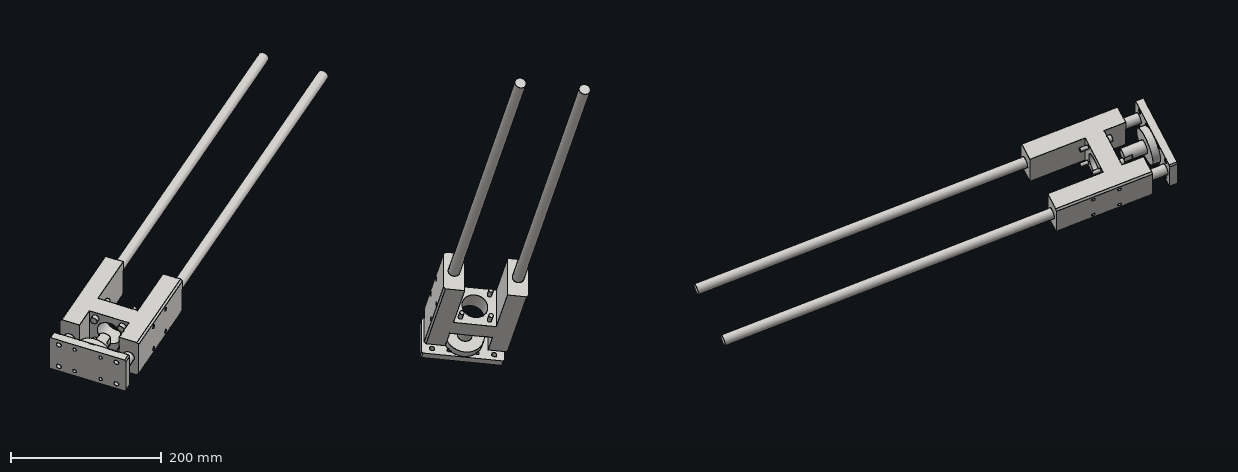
import cadquery as cq

TOTAL_LENGTH = 657.0
ROD_SPACING = 87.0
ROD_DIAMETER = 16.0

HOUSING_WIDTH = 115.0
HOUSING_LENGTH = 140.0
HOUSING_HEIGHT = 58.0
HOUSING_FRONT = 37.5
HOUSING_CHAMFER = 2.5
LEG_GAP = 58.0
BRIDGE_FRONT = 69.0
BRIDGE_LENGTH = 27.5
BRIDGE_BORE_DIAMETER = 35.0
SIDE_HOLE_DIAMETER = 5.0
SIDE_HOLE_DEPTH = 10.0
SIDE_HOLE_SPACING_Y = 38.0
SIDE_HOLE_SPACING_Z = 39.0
SIDE_HOLE_CENTER_Y = 104.5

SCREW_SPACING = 39.5
SCREW_HEAD_DIAMETER = 10.0
SCREW_HEAD_HEIGHT = 6.5
SCREW_SHANK_DIAMETER = 6.0
SCREW_TIP_LENGTH = 12.0

PLATE_WIDTH = 112.5
PLATE_HEIGHT = 55.0
PLATE_THICKNESS = 12.0
PLATE_CHAMFER = 2.0
PLATE_HOLE_SPACING_Z = 38.0
OUTER_HOLE_SPACING = 84.0
OUTER_HOLE_DIAMETER = 6.5
INNER_HOLE_SPACING = 38.0
INNER_HOLE_DIAMETER = 5.0

FLANGE_DIAMETER = 53.0
FLANGE_THICKNESS = 11.0
STUB_DIAMETER = 20.0
STUB_LENGTH = 33.0
STUB_FLATS_WIDTH = 16.0
STUB_FLATS_LENGTH = 11.0

ROD_POINTS = [(-ROD_SPACING / 2, 0), (ROD_SPACING / 2, 0)]
HOUSING_BACK = HOUSING_FRONT + HOUSING_LENGTH
BRIDGE_BACK = BRIDGE_FRONT + BRIDGE_LENGTH


def cylinder_y(diameter, y_start, length, points=((0, 0),)):
    """Cylinders along +Y, starting at y_start, centred on the given (x, z) points."""
    plane = cq.Plane(origin=(0, y_start, 0), xDir=(1, 0, 0), normal=(0, 1, 0))
    flipped = [(x, -z) for x, z in points]
    return cq.Workplane(plane).pushPoints(flipped).circle(diameter / 2).extrude(length)


def block(width, y_start, length, height):
    """Box centred in X and Z, running along +Y from y_start."""
    return cq.Workplane("XY").box(width, length, height).translate((0, y_start + length / 2, 0))


def corners(width, height):
    """Four corner points of a rectangle centred on the origin."""
    return [(u * width / 2, v * height / 2) for u in (-1, 1) for v in (-1, 1)]


def side_holes():
    """Blind holes in both outer sides of the housing, four per side."""
    hole_bottom = HOUSING_WIDTH / 2 - SIDE_HOLE_DEPTH
    holes = (
        cq.Workplane("YZ", origin=(hole_bottom, SIDE_HOLE_CENTER_Y, 0))
        .pushPoints(corners(SIDE_HOLE_SPACING_Y, SIDE_HOLE_SPACING_Z))
        .circle(SIDE_HOLE_DIAMETER / 2)
        .extrude(SIDE_HOLE_DEPTH)
    )
    return holes.union(holes.mirror("YZ"))


def bridge_screws():
    """Heads in front of the bridge and shank tips behind it."""
    points = corners(SCREW_SPACING, SCREW_SPACING)
    head_front = BRIDGE_FRONT - SCREW_HEAD_HEIGHT
    heads = cylinder_y(SCREW_HEAD_DIAMETER, head_front, SCREW_HEAD_HEIGHT, points)
    tips = cylinder_y(SCREW_SHANK_DIAMETER, BRIDGE_BACK, SCREW_TIP_LENGTH, points)
    return heads, tips


def make_housing():
    """H-shaped block with rod bores and the screws held in its bridge."""
    body = block(HOUSING_WIDTH, HOUSING_FRONT, HOUSING_LENGTH, HOUSING_HEIGHT)
    body = body.edges("|Y").chamfer(HOUSING_CHAMFER)
    body = body.cut(block(LEG_GAP, HOUSING_FRONT, BRIDGE_FRONT - HOUSING_FRONT, HOUSING_HEIGHT))
    body = body.cut(block(LEG_GAP, BRIDGE_BACK, HOUSING_BACK - BRIDGE_BACK, HOUSING_HEIGHT))
    body = body.cut(cylinder_y(ROD_DIAMETER, HOUSING_FRONT, HOUSING_LENGTH, ROD_POINTS))
    body = body.cut(cylinder_y(BRIDGE_BORE_DIAMETER, BRIDGE_FRONT, BRIDGE_LENGTH))
    body = body.cut(side_holes())
    for screw_ends in bridge_screws():
        body = body.union(screw_ends)
    return body


def make_stub(y_start):
    """Round stub whose free end has two flats facing -X and +X."""
    flats_start = y_start + STUB_LENGTH - STUB_FLATS_LENGTH
    stub = cylinder_y(STUB_DIAMETER, y_start, STUB_LENGTH)
    tip_zone = block(STUB_DIAMETER, flats_start, STUB_FLATS_LENGTH, STUB_DIAMETER)
    kept_tip = block(STUB_FLATS_WIDTH, flats_start, STUB_FLATS_LENGTH, STUB_DIAMETER)
    return stub.cut(tip_zone.cut(kept_tip))


def make_slider():
    """End plate with its coupling and the two guide rods."""
    body = block(PLATE_WIDTH, 0, PLATE_THICKNESS, PLATE_HEIGHT)
    body = body.edges("|Y").chamfer(PLATE_CHAMFER)
    outer = corners(OUTER_HOLE_SPACING, PLATE_HOLE_SPACING_Z)
    inner = corners(INNER_HOLE_SPACING, PLATE_HOLE_SPACING_Z)
    body = body.cut(cylinder_y(OUTER_HOLE_DIAMETER, 0, PLATE_THICKNESS, outer))
    body = body.cut(cylinder_y(INNER_HOLE_DIAMETER, 0, PLATE_THICKNESS, inner))
    flange_back = PLATE_THICKNESS + FLANGE_THICKNESS
    body = body.union(cylinder_y(FLANGE_DIAMETER, PLATE_THICKNESS, FLANGE_THICKNESS))
    body = body.union(make_stub(flange_back))
    rods = cylinder_y(ROD_DIAMETER, PLATE_THICKNESS, TOTAL_LENGTH - PLATE_THICKNESS, ROD_POINTS)
    return body.union(rods)


housing = make_housing()
slider = make_slider()
result = cq.Compound.makeCompound([housing.solids().val(), slider.solids().val()])